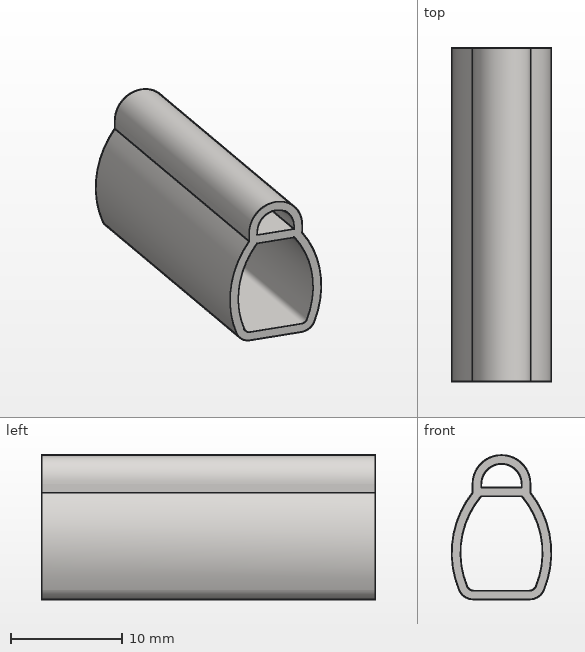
import cadquery as cq
import math

length = 30.0
wall = 0.8
body_width = 8.97
total_height = 13.0
side_radius = 8.7
widest_height = 4.2
corner_radius = 1.4
loop_radius = 2.6
loop_floor = 10.08

loop_center = total_height - loop_radius
side_center = side_radius - body_width / 2
shoulder_height = widest_height + math.sqrt(side_radius**2 - (side_center + loop_radius) ** 2)


def barrel(bottom, top, radius, bottom_corner):
    """Prism with two bulging sides, flat top and bottom, and rounded bottom corners."""

    def half_width(height):
        return math.sqrt(radius**2 - (height - widest_height) ** 2) - side_center

    widest = radius - side_center
    return (
        cq.Workplane("XZ")
        .moveTo(-half_width(bottom), bottom)
        .lineTo(half_width(bottom), bottom)
        .threePointArc((widest, widest_height), (half_width(top), top))
        .lineTo(-half_width(top), top)
        .threePointArc((-widest, widest_height), (-half_width(bottom), bottom))
        .close()
        .extrude(length / 2, both=True)
        .edges("|Y and <Z")
        .fillet(bottom_corner)
    )


def arch(bottom, radius):
    """Prism with a flat bottom, straight sides and a semicircular top."""
    return (
        cq.Workplane("XZ")
        .moveTo(-radius, bottom)
        .lineTo(radius, bottom)
        .lineTo(radius, loop_center)
        .threePointArc((0, loop_center + radius), (-radius, loop_center))
        .close()
        .extrude(length / 2, both=True)
    )


outer_body = barrel(0, shoulder_height, side_radius, corner_radius)
outer_loop = arch(widest_height, loop_radius)

body_cavity = barrel(wall, loop_floor - wall, side_radius - wall, corner_radius - wall)
loop_cavity = arch(loop_floor, loop_radius - wall)

result = outer_body.union(outer_loop).cut(body_cavity).cut(loop_cavity)